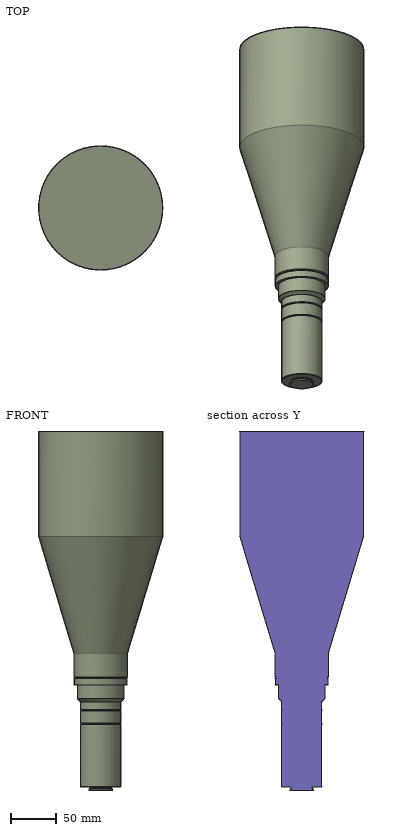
import cadquery as cq

total_height = 399.28
head_radius = 69.0

stub_lip_top = 1.8
tube_bottom = 4.0
collar_bottom = 102.2
flange_bottom = 117.5
flange_joint = 125.4
cone_bottom = 152.6
cone_top = 282.5

stub_lip_radius = 13.0
stub_neck_radius = 12.0
tube_radius = 22.5
collar_radius = 26.0
flange_radius = 29.5
neck_radius = 29.8

tube_chamfer = 0.5

flange_groove_depth = 1.1
tube_groove_depth = 0.7
tube_groove_levels = (74.4, 89.4)


def revolve_outline(points):
    """Turn a closed outline of (radius, level) points around the Z axis."""
    return cq.Workplane("XZ").polyline(points).close().revolve(360, (0, 0, 0), (0, 1, 0))


def turned_body():
    """Stub, tube, collar, flange, neck, cone and cylindrical head in one solid of revolution."""
    stub_bevel = stub_lip_radius - stub_neck_radius
    collar_bevel = collar_radius - tube_radius
    outline = [
        (0, 0),
        (stub_lip_radius, 0),
        (stub_lip_radius, stub_lip_top),
        (stub_neck_radius, stub_lip_top + stub_bevel),
        (stub_neck_radius, tube_bottom),
        (tube_radius - tube_chamfer, tube_bottom),
        (tube_radius, tube_bottom + tube_chamfer),
        (tube_radius, collar_bottom - collar_bevel),
        (collar_radius, collar_bottom),
        (collar_radius, flange_bottom),
        (flange_radius, flange_bottom),
        (flange_radius, flange_joint),
        (neck_radius, flange_joint),
        (neck_radius, cone_bottom),
        (head_radius, cone_top),
        (head_radius, total_height),
        (0, total_height),
    ]
    return revolve_outline(outline)


def v_groove(mouth_radius, middle_level, depth):
    """Ring with a triangular section, its mouth on the given radius and its tip inward."""
    section = [
        (mouth_radius + depth, middle_level - 2 * depth),
        (mouth_radius - depth, middle_level),
        (mouth_radius + depth, middle_level + 2 * depth),
    ]
    return revolve_outline(section)


result = turned_body()
result = result.cut(v_groove(neck_radius, flange_joint, flange_groove_depth))
for level in tube_groove_levels:
    result = result.cut(v_groove(tube_radius, level, tube_groove_depth))